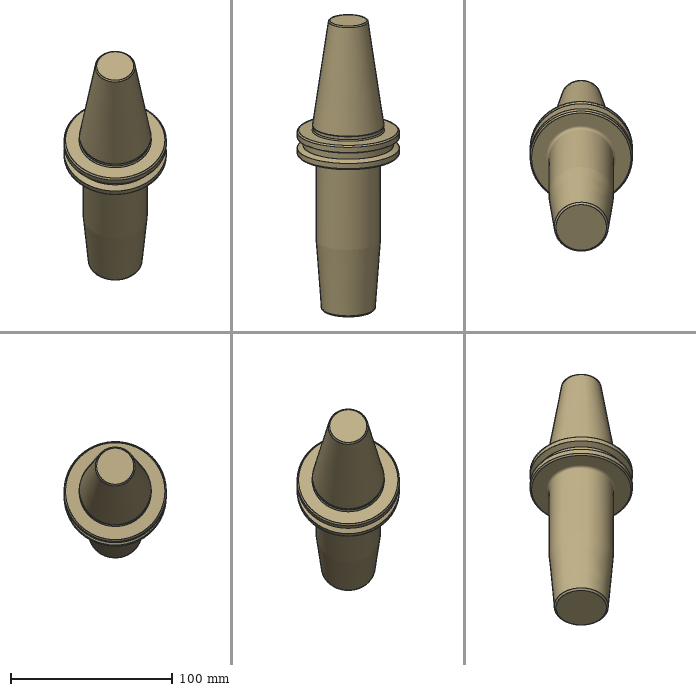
import cadquery as cq
import math

total_height = 188.4

gauge_height = 120.0
gauge_radius = 22.2
taper_ratio = 7 / 24
tip_radius = gauge_radius - (total_height - gauge_height) * taper_ratio / 2
tip_chamfer = 0.8

undercut_radius = 21.7
undercut_step = 0.5
undercut_bevel = 0.8

flange_radius = 63.5 / 2
flange_top = gauge_height - 3.2
flange_bottom = gauge_height - 19.0
flange_chamfer = 1.0
groove_radius = 28.0
groove_center = gauge_height - 11.1
groove_mouth_width = 7.2
groove_floor_width = 4.0

body_radius = 20.0
body_fillet = 1.9
nose_height = 45.0
nose_radius = 16.8
nose_chamfer = 1.1

arc_inset = 1 - math.sqrt(0.5)


def half_profile():
    """Closed radius-height outline from the nose up to the shank tip."""
    return (
        cq.Workplane("XZ")
        .moveTo(0, 0)
        .lineTo(nose_radius - nose_chamfer, 0)
        .lineTo(nose_radius, nose_chamfer)
        .lineTo(body_radius, nose_height)
        .lineTo(body_radius, flange_bottom - body_fillet)
        .threePointArc(
            (body_radius + body_fillet * arc_inset, flange_bottom - body_fillet * arc_inset),
            (body_radius + body_fillet, flange_bottom),
        )
        .lineTo(flange_radius - flange_chamfer, flange_bottom)
        .lineTo(flange_radius, flange_bottom + flange_chamfer)
        .lineTo(flange_radius, groove_center - groove_mouth_width / 2)
        .lineTo(groove_radius, groove_center - groove_floor_width / 2)
        .lineTo(groove_radius, groove_center + groove_floor_width / 2)
        .lineTo(flange_radius, groove_center + groove_mouth_width / 2)
        .lineTo(flange_radius, flange_top - flange_chamfer)
        .lineTo(flange_radius - flange_chamfer, flange_top)
        .lineTo(undercut_radius + undercut_bevel, flange_top)
        .lineTo(undercut_radius, flange_top + undercut_bevel)
        .lineTo(undercut_radius, gauge_height - undercut_step)
        .lineTo(gauge_radius, gauge_height)
        .lineTo(tip_radius + tip_chamfer * taper_ratio / 2, total_height - tip_chamfer)
        .lineTo(tip_radius - tip_chamfer, total_height)
        .lineTo(0, total_height)
        .close()
    )


result = half_profile().revolve(360, (0, 0, 0), (0, 1, 0))